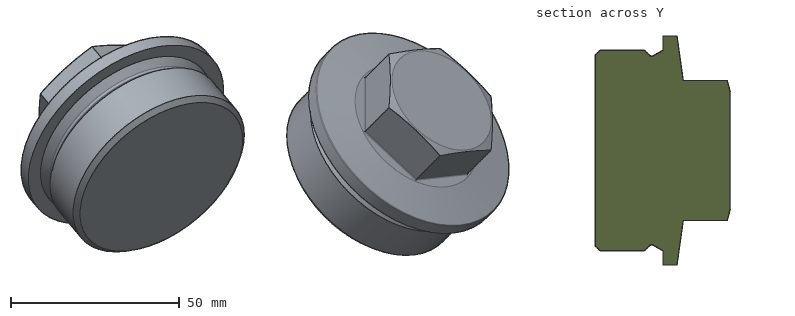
import cadquery as cq
import math

total_length = 40.0

hex_across_flats = 36.0
hex_chamfer_angle = 15.0
hex_face_radius = 17.5
hex_corner_radius = hex_across_flats / math.sqrt(3)
hex_base_fillet = 0.2

collar_radius = 34.0
collar_cone_radius = 21.5
collar_front_x = 14.0
collar_back_x = 20.0
collar_cone_angle = 8.0
collar_edge_radius = 0.2

thread_radius = 59.614 / 2
thread_chamfer = 1.5

groove_bottom_radius = 28.0
groove_fillet_radius = 1.0
groove_front_angle = 30.0
groove_back_angle = 45.0
groove_end_x = 25.5


def make_hex_head():
    """Hexagonal prism with corners on +Z and -Z and its front corners chamfered by a cone."""
    prism = (
        cq.Workplane("YZ")
        .polygon(6, 2 * hex_corner_radius)
        .extrude(collar_front_x)
        .rotate((0, 0, 0), (1, 0, 0), 90)
    )
    chamfer_length = (hex_corner_radius - hex_face_radius) * math.tan(math.radians(hex_chamfer_angle))
    envelope = (
        cq.Workplane("XY")
        .polyline([
            (0, 0),
            (0, hex_face_radius),
            (chamfer_length, hex_corner_radius),
            (collar_front_x, hex_corner_radius),
            (collar_front_x, 0),
        ])
        .close()
        .revolve(360, (0, 0, 0), (1, 0, 0))
    )
    return prism.intersect(envelope)


def arc_point(center, radius, angle):
    """Point on a circle, with the angle in degrees measured from +X."""
    turn = math.radians(angle)
    return (center[0] + radius * math.cos(turn), center[1] + radius * math.sin(turn))


def make_turned_body():
    """Collar, undercut and shank as one profile revolved about X."""
    cone_slope = math.radians(collar_cone_angle)
    rim_corner_x = collar_front_x + (collar_radius - collar_cone_radius) * math.tan(cone_slope)
    edge_tangent = collar_edge_radius * math.tan((math.pi / 2 - cone_slope) / 2)
    edge_center = (rim_corner_x + edge_tangent, collar_radius - collar_edge_radius)
    edge_start_angle = 180 - collar_cone_angle
    edge_end_angle = 90

    groove_start_angle = 270 - groove_front_angle
    groove_end_angle = 270 + groove_back_angle
    fillet_height = groove_bottom_radius + groove_fillet_radius
    fillet_end = arc_point((0, fillet_height), groove_fillet_radius, groove_end_angle)
    flank_length = (thread_radius - fillet_end[1]) / math.tan(math.radians(groove_back_angle))
    groove_center = (groove_end_x - flank_length - fillet_end[0], fillet_height)
    groove_start = arc_point(groove_center, groove_fillet_radius, groove_start_angle)
    front_flank_length = groove_start[0] - collar_back_x
    front_flank_radius = groove_start[1] + front_flank_length * math.tan(math.radians(groove_front_angle))

    profile = (
        cq.Workplane("XY")
        .moveTo(collar_front_x, 0)
        .lineTo(collar_front_x, collar_cone_radius)
        .lineTo(*arc_point(edge_center, collar_edge_radius, edge_start_angle))
        .threePointArc(
            arc_point(edge_center, collar_edge_radius, (edge_start_angle + edge_end_angle) / 2),
            arc_point(edge_center, collar_edge_radius, edge_end_angle),
        )
        .lineTo(collar_back_x, collar_radius)
        .lineTo(collar_back_x, front_flank_radius)
        .lineTo(*groove_start)
        .threePointArc(
            (groove_center[0], groove_bottom_radius),
            arc_point(groove_center, groove_fillet_radius, groove_end_angle),
        )
        .lineTo(groove_end_x, thread_radius)
        .lineTo(total_length - thread_chamfer, thread_radius)
        .lineTo(total_length, thread_radius - thread_chamfer)
        .lineTo(total_length, 0)
        .close()
    )
    return profile.revolve(360, (0, 0, 0), (1, 0, 0))


def fillet_hex_base(plug):
    """Round the six straight edges where the hexagon meets the collar."""
    inset = 0.01
    base_slab = cq.selectors.BoxSelector(
        (collar_front_x - inset, -collar_radius, -collar_radius),
        (collar_front_x + inset, collar_radius, collar_radius),
    )
    return plug.edges(base_slab).edges("%LINE").fillet(hex_base_fillet)


result = fillet_hex_base(make_turned_body().union(make_hex_head()))